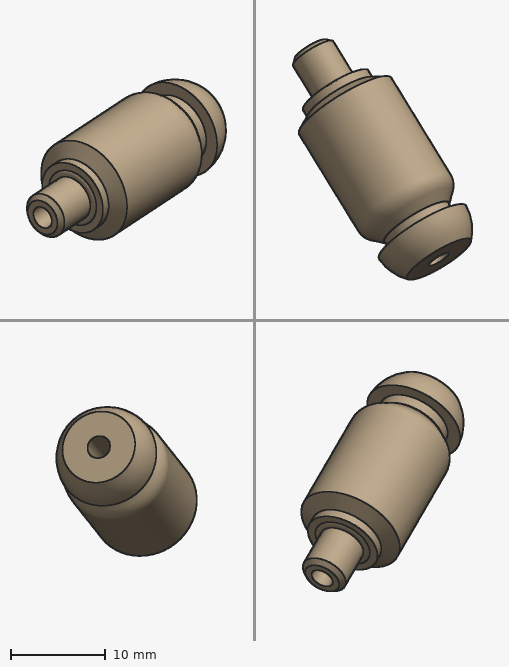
import cadquery as cq
import math

total_length = 26.6

bore_diameter = 2.45
pin_diameter = 5.0
collar_diameter = 8.09
body_diameter = 11.45
neck_diameter = 7.9
head_diameter = 10.8

collar_start = 5.2
collar_end = 6.17
body_start = 7.18
shoulder_end = 21.95
head_start = 23.2

pin_chamfer = 0.53
seal_ring_diameter = 6.33
seal_flat_diameter = 5.53
seal_ring_height = 0.19
shoulder_round = 2.0
shoulder_angle = math.radians(45)
head_top_diameter = neck_diameter

pin_radius = pin_diameter / 2
collar_radius = collar_diameter / 2
body_radius = body_diameter / 2
neck_radius = neck_diameter / 2
head_radius = head_diameter / 2
head_top_radius = head_top_diameter / 2
seal_ring_radius = seal_ring_diameter / 2
seal_flat_radius = seal_flat_diameter / 2


def arc_midpoint(center, radius, start, end):
    """Return the middle of the short arc from start to end."""
    start_angle = math.atan2(start[1] - center[1], start[0] - center[0])
    end_angle = math.atan2(end[1] - center[1], end[0] - center[0])
    angle = (start_angle + end_angle) / 2
    return (center[0] + radius * math.cos(angle), center[1] + radius * math.sin(angle))


seal_width = seal_ring_radius - seal_flat_radius
seal_round = (seal_width**2 + seal_ring_height**2) / (2 * seal_ring_height)
seal_front = collar_start - seal_ring_height
seal_center = (seal_flat_radius, seal_front + seal_round)
seal_inner = (seal_flat_radius, seal_front)
seal_outer = (seal_ring_radius, collar_start)

shoulder_center_radius = body_radius - shoulder_round
round_end_radius = shoulder_center_radius + shoulder_round * math.cos(shoulder_angle)
round_end_y = shoulder_end - (round_end_radius - collar_radius) * math.tan(shoulder_angle)
body_end = round_end_y - shoulder_round * math.sin(shoulder_angle)
shoulder_center = (shoulder_center_radius, body_end)
shoulder_start = (body_radius, body_end)
shoulder_tangent = (round_end_radius, round_end_y)

head_height = total_length - head_start
center_offset = (head_radius**2 - head_top_radius**2 - head_height**2) / (2 * head_height)
head_center = (0, head_start - center_offset)
head_edge = (head_radius, head_start)
head_top = (head_top_radius, total_length)
head_sphere_radius = math.hypot(head_radius, center_offset)

profile = (
    cq.Workplane("XY")
    .moveTo(0, 0)
    .lineTo(pin_radius - pin_chamfer, 0)
    .lineTo(pin_radius, pin_chamfer)
    .lineTo(pin_radius, seal_front)
    .lineTo(*seal_inner)
    .threePointArc(arc_midpoint(seal_center, seal_round, seal_inner, seal_outer), seal_outer)
    .lineTo(collar_radius, collar_start)
    .lineTo(collar_radius, collar_end)
    .lineTo(body_radius, body_start)
    .lineTo(*shoulder_start)
    .threePointArc(
        arc_midpoint(shoulder_center, shoulder_round, shoulder_start, shoulder_tangent),
        shoulder_tangent,
    )
    .lineTo(collar_radius, shoulder_end)
    .lineTo(neck_radius, shoulder_end)
    .lineTo(neck_radius, head_start)
    .lineTo(*head_edge)
    .threePointArc(arc_midpoint(head_center, head_sphere_radius, head_edge, head_top), head_top)
    .lineTo(0, total_length)
    .close()
)
body = profile.revolve(360, (0, 0, 0), (0, 1, 0))

bore = cq.Workplane("XZ").circle(bore_diameter / 2).extrude(-total_length)

result = body.cut(bore)